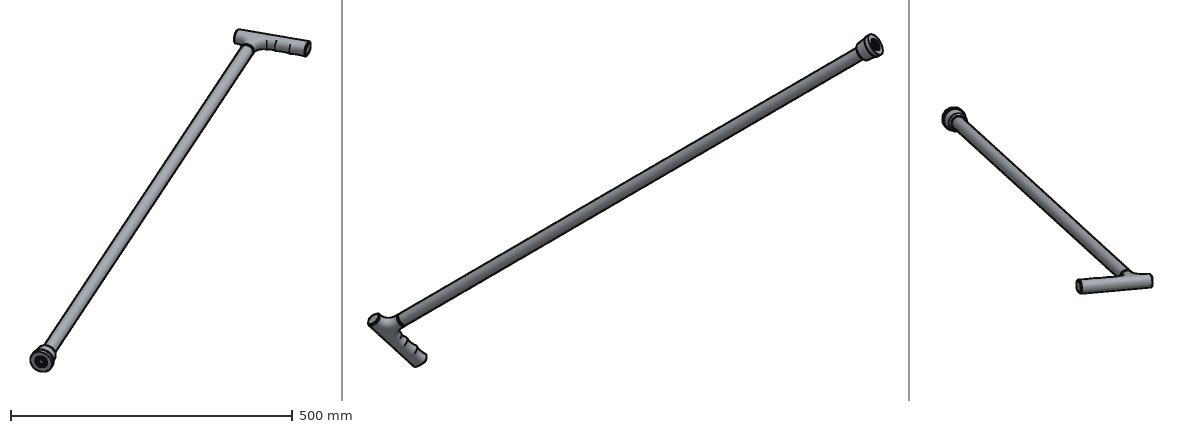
import cadquery as cq

TOTAL_LENGTH = 1149.0
SHAFT_DIAMETER = 24.0
SHAFT_RADIUS = SHAFT_DIAMETER / 2
SEAM_Y = 1092.0

FOOT_RADIUS = 21.0
RIM_HEIGHT = 9.0
SLEEVE_BOTTOM_RADIUS = 20.0
SLEEVE_TOP_RADIUS = 17.0
SLEEVE_TOP_Y = 33.0
SLEEVE_CHAMFER = 3.0
TREAD_DEPTH = 1.0
TREAD_WIDTH = 2.0
TREAD_INNER_RADII = (5.0, 9.0)

HANDLE_BACK_X = -35.0
HANDLE_TIP_X = 101.0
HANDLE_THICKNESS = SHAFT_DIAMETER
BACK_TOP_Y = TOTAL_LENGTH - 5.0
GRIP_Y = 1117.0
GRIP_CUSPS_X = (44.0, 71.0)
SCALLOP_DEPTH = 2.0
NECK_CURVE_RADIUS = 16.0
HANDLE_ROUNDING = 11.0
BACK_CHAMFER = 2.0
TIP_CHAMFER = 2.0
SEAM_BAND_WIDTH = 3.0
SEAM_BAND_DEPTH = 0.6
EDGE_MARGIN = 0.1


def make_shaft():
    """Round shaft with its stepped foot, revolved about the Y axis."""
    half = (
        cq.Workplane("ZY")
        .moveTo(0, 0)
        .lineTo(FOOT_RADIUS, 0)
        .lineTo(FOOT_RADIUS, RIM_HEIGHT)
        .lineTo(SLEEVE_BOTTOM_RADIUS, RIM_HEIGHT)
        .lineTo(SLEEVE_TOP_RADIUS, SLEEVE_TOP_Y - SLEEVE_CHAMFER)
        .lineTo(SLEEVE_TOP_RADIUS - SLEEVE_CHAMFER, SLEEVE_TOP_Y)
        .lineTo(SHAFT_RADIUS, SLEEVE_TOP_Y)
        .lineTo(SHAFT_RADIUS, SEAM_Y)
        .lineTo(0, SEAM_Y)
        .close()
        .revolve(180, (0, 0, 0), (0, 1, 0))
    )
    shaft = half.union(half.mirror("YZ"), clean=False)
    for inner_radius in TREAD_INNER_RADII:
        groove = (
            cq.Workplane("XZ")
            .circle(inner_radius + TREAD_WIDTH)
            .circle(inner_radius)
            .extrude(-TREAD_DEPTH)
        )
        shaft = shaft.cut(groove, clean=False)
    return shaft


def handle_outline():
    """Side outline of the handle, from the neck along the scalloped grip and back."""
    neck_start_y = SEAM_Y + SEAM_BAND_WIDTH
    neck_top_y = GRIP_Y - NECK_CURVE_RADIUS
    top_slope = (TOTAL_LENGTH - BACK_TOP_Y) / (HANDLE_TIP_X - TIP_CHAMFER - HANDLE_BACK_X)
    tip_top_y = TOTAL_LENGTH + top_slope * TIP_CHAMFER
    neck_end_x = SHAFT_RADIUS + NECK_CURVE_RADIUS
    outline = (
        cq.Workplane("XY", origin=(0, 0, -HANDLE_THICKNESS / 2))
        .moveTo(-SHAFT_RADIUS, neck_start_y)
        .lineTo(SHAFT_RADIUS, neck_start_y)
        .lineTo(SHAFT_RADIUS, neck_top_y)
        .radiusArc((neck_end_x, GRIP_Y), NECK_CURVE_RADIUS)
    )
    start_x = neck_end_x
    for end_x in (*GRIP_CUSPS_X, HANDLE_TIP_X):
        outline = outline.threePointArc(
            ((start_x + end_x) / 2, GRIP_Y + SCALLOP_DEPTH), (end_x, GRIP_Y)
        )
        start_x = end_x
    return (
        outline.lineTo(HANDLE_TIP_X, tip_top_y)
        .lineTo(HANDLE_BACK_X, BACK_TOP_Y)
        .lineTo(HANDLE_BACK_X, GRIP_Y)
        .lineTo(-neck_end_x, GRIP_Y)
        .radiusArc((-SHAFT_RADIUS, neck_top_y), NECK_CURVE_RADIUS)
        .close()
    )


def make_handle():
    """Rounded handle with finger scallops and a neck that meets the shaft."""
    handle = handle_outline().extrude(HANDLE_THICKNESS)
    long_edges = (
        handle.faces("|Z").edges()
        .filter(lambda edge: edge.Center().y > SEAM_Y + SEAM_BAND_WIDTH + EDGE_MARGIN)
        .filter(lambda edge: HANDLE_BACK_X + EDGE_MARGIN < edge.Center().x < HANDLE_TIP_X - EDGE_MARGIN)
    )
    handle = long_edges.fillet(HANDLE_ROUNDING)
    handle = handle.faces("<X").chamfer(BACK_CHAMFER)
    handle = handle.faces(">X").chamfer(TIP_CHAMFER)
    collar = (
        cq.Workplane("XZ", origin=(0, SEAM_Y, 0))
        .circle(SHAFT_RADIUS - SEAM_BAND_DEPTH)
        .extrude(-SEAM_BAND_WIDTH)
    )
    return handle.union(collar)


shaft = make_shaft()
handle = make_handle()
result = cq.Compound.makeCompound([shaft.val(), handle.val()])